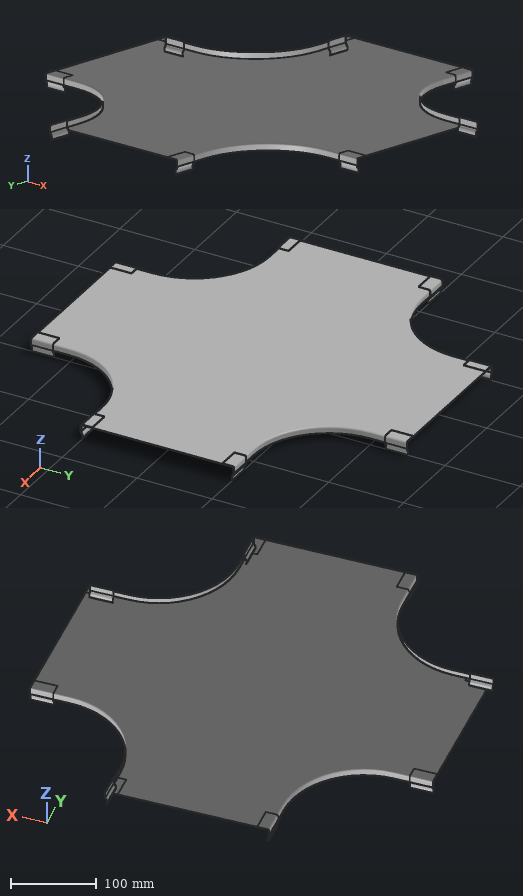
import cadquery as cq
import math

sheet = 0.75

clip_half_width = 102.5
clip_length = 29.0
clip_width = 16.0
clip_height = 19.0
clip_bend = 3.0
clip_inner_bend = clip_bend - sheet

reach = 250.5
arm_half_width = clip_half_width - sheet
corner_radius = 99.0
corner_centre = arm_half_width + corner_radius
flange_depth = 9.0
cover_bend = 2.5
cover_inner_bend = cover_bend - sheet

bend_radius = 3.0
lip_radius = 5.0
bend_angle = math.radians(50)


def polar(centre, radius, angle):
    """Point at a distance and an angle from a centre."""
    return (centre[0] + radius * math.cos(angle), centre[1] + radius * math.sin(angle))


def make_plate():
    """Flat cross with concave corners, reaching to the start of the flange bend."""
    half_width = arm_half_width - cover_bend
    notch_side = reach - half_width
    notch_middle = half_width + notch_side / 2
    square = cq.Workplane("XY").rect(2 * reach, 2 * reach).extrude(-sheet)
    notches = (
        cq.Workplane("XY")
        .rect(2 * notch_middle, 2 * notch_middle, forConstruction=True)
        .vertices()
        .rect(notch_side, notch_side)
        .extrude(-sheet)
    )
    near_centre = cq.selectors.BoxSelector(
        (-corner_centre, -corner_centre, -sheet), (corner_centre, corner_centre, sheet)
    )
    cross = square.cut(notches)
    return cross.edges("|Z").edges(near_centre).fillet(corner_radius + cover_bend)


def make_flange():
    """Bend and flange along one concave corner, swept from arm end to arm end."""
    section = (
        cq.Workplane("XZ", origin=(arm_half_width, -reach, 0))
        .moveTo(-cover_bend, 0)
        .radiusArc((0, -cover_bend), cover_bend)
        .lineTo(0, -flange_depth)
        .lineTo(-sheet, -flange_depth)
        .lineTo(-sheet, -cover_bend)
        .radiusArc((-cover_bend, -sheet), -cover_inner_bend)
        .close()
    )
    corner = (corner_centre, -corner_centre)
    path = (
        cq.Workplane("XY")
        .moveTo(arm_half_width, -reach)
        .lineTo(arm_half_width, -corner_centre)
        .threePointArc(
            polar(corner, corner_radius, math.radians(135)),
            (corner_centre, -arm_half_width),
        )
        .lineTo(reach, -arm_half_width)
    )
    return section.sweep(path)


def make_cover():
    """Plate with a bent-down flange along its four concave corners."""
    cover = make_plate()
    flange = make_flange()
    for quarter in range(4):
        cover = cover.union(flange.rotate((0, 0, 0), (0, 0, 1), 90 * quarter))
    return cover


def clip_section():
    """Section of a clip in the XZ plane, on the +X side of an arm."""
    leg_end = clip_half_width - clip_width

    bend_outer = bend_radius + sheet / 2
    bend_inner = bend_radius - sheet / 2
    bend_centre = (clip_half_width - bend_outer, -flange_depth)

    lip_outer = lip_radius - sheet / 2
    lip_inner = lip_radius + sheet / 2
    lip_centre = polar(bend_centre, bend_radius + lip_radius, -bend_angle)
    lip_start = math.pi - bend_angle

    lip_drop = lip_centre[1] - (sheet - clip_height)
    lip_end = math.pi + math.asin(lip_drop / lip_inner)
    lip_middle = (lip_start + lip_end) / 2

    return (
        cq.Workplane("XZ")
        .moveTo(leg_end, sheet)
        .lineTo(clip_half_width - clip_bend, sheet)
        .radiusArc((clip_half_width, sheet - clip_bend), clip_bend)
        .lineTo(clip_half_width, -flange_depth)
        .threePointArc(
            polar(bend_centre, bend_outer, -bend_angle / 2),
            polar(bend_centre, bend_outer, -bend_angle),
        )
        .threePointArc(
            polar(lip_centre, lip_outer, lip_middle),
            polar(lip_centre, lip_outer, lip_end),
        )
        .lineTo(*polar(lip_centre, lip_inner, lip_end))
        .threePointArc(
            polar(lip_centre, lip_inner, lip_middle),
            polar(lip_centre, lip_inner, lip_start),
        )
        .threePointArc(
            polar(bend_centre, bend_inner, -bend_angle / 2),
            polar(bend_centre, bend_inner, 0),
        )
        .lineTo(arm_half_width, -clip_inner_bend)
        .radiusArc((arm_half_width - clip_inner_bend, 0), -clip_inner_bend)
        .lineTo(leg_end, 0)
        .close()
    )


def make_clips():
    """Eight separate clips: a mirrored pair at the end of each arm."""
    right_clip = clip_section().extrude(clip_length).translate((0, clip_length - reach, 0))
    left_clip = right_clip.mirror("YZ")
    clips = []
    for quarter in range(4):
        for clip in (right_clip, left_clip):
            clips.append(clip.rotate((0, 0, 0), (0, 0, 1), 90 * quarter).val())
    return clips


cover = make_cover()
clips = make_clips()

result = cq.Compound.makeCompound([cover.solids().val(), *clips])